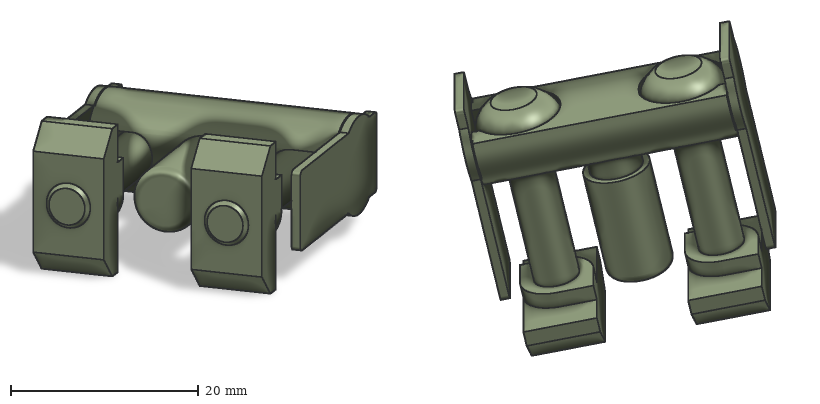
import cadquery as cq


overall_width = 30.0
plate_thickness = 1.0
bar_radius = 5.48
bar_flat_y = 1.58
relief_width = 0.12

plate_rear_y = 5.5
plate_front_y = -18.05
plate_height = 8.95
plate_corner_radius = 0.58

pin_radius = 3.65
pin_rear_y = -6.95
pin_tip_y = -19.53
pin_tip_fillet = 1.0
neck_radius = 2.93

bolt_spacing = 18.0
shank_radius = 2.5
bolt_tip_y = -24.95
head_radius = 4.75
head_top_radius = 2.53
head_top_y = 3.32
head_height = 2.5
head_bulge = 0.27

nut_width = 8.05
nut_height = 16.5
nut_front_y = -24.5
nut_rear_y = -20.17
nut_chamfer = 2.62
boss_rear_y = -18.43

bar_half_length = overall_width / 2 - plate_thickness
head_seat_y = head_top_y - head_height
bolt_x = bolt_spacing / 2
tip_chamfer = nut_front_y - bolt_tip_y


def cylinder_along_y(radius, x, start_y, end_y):
    """Cylinder parallel to Y, from start_y down to the lower end_y."""
    return cq.Workplane("XZ", origin=(x, start_y, 0)).circle(radius).extrude(start_y - end_y)


def make_bar():
    """Round bar with its rear side cut flat."""
    bar = cq.Workplane("YZ").circle(bar_radius).extrude(bar_half_length, both=True)
    behind_flat = cq.Workplane("XY").box(
        2 * bar_half_length, bar_radius, 2 * bar_radius
    ).translate((0, bar_flat_y + bar_radius / 2, 0))
    return bar.cut(behind_flat)


def make_plate(side):
    """End plate with rounded corners and a round bulge over the bar end; side is -1 or 1."""
    inner_x = side * bar_half_length
    plate_length = plate_rear_y - plate_front_y
    middle_y = (plate_rear_y + plate_front_y) / 2
    plate = (
        cq.Workplane("YZ", origin=(inner_x, 0, 0))
        .center(middle_y, 0)
        .rect(plate_length, plate_height)
        .extrude(side * plate_thickness)
        .edges("|X")
        .fillet(plate_corner_radius)
    )
    bulge = (
        cq.Workplane("YZ", origin=(inner_x, 0, 0))
        .circle(bar_radius)
        .extrude(side * plate_thickness)
    )
    return plate.union(bulge)


def make_pin():
    """Central pin on a thinner neck that starts inside the bar."""
    neck = cylinder_along_y(neck_radius, 0, 0, pin_rear_y)
    pin = cylinder_along_y(pin_radius, 0, pin_rear_y, pin_tip_y)
    pin = pin.faces("<Y").edges().fillet(pin_tip_fillet)
    return neck.union(pin)


def make_bolt_slot(side):
    """Cutter for one bolt: a slot open to the bar end and a recess for the bolt head."""
    hole = cylinder_along_y(shank_radius, side * bolt_x, bar_radius, -bar_radius)
    opening_length = bar_half_length - bolt_x
    opening = cq.Workplane("XY").box(opening_length, 2 * bar_radius, 2 * shank_radius)
    opening = opening.translate((side * (bolt_x + opening_length / 2), 0, 0))
    recess = cylinder_along_y(head_radius, side * bolt_x, bar_flat_y, head_seat_y)
    return hole.union(opening).union(recess)


def make_relief(side):
    """Cutter for the slits above and below the plate edges, between the bar and a plate bulge."""
    slab = cq.Workplane("XY").box(relief_width, 2 * bar_radius, 2 * bar_radius)
    kept_middle = cq.Workplane("XY").box(relief_width, 2 * bar_radius, plate_height)
    relief_x = side * (bar_half_length - relief_width / 2)
    return slab.cut(kept_middle).translate((relief_x, 0, 0))


def make_frame():
    """Bar, central pin and both end plates as one body."""
    frame = make_bar().union(make_pin())
    for side in (-1, 1):
        frame = frame.cut(make_bolt_slot(side)).cut(make_relief(side)).union(make_plate(side))
    return frame


def make_screw():
    """Button-head screw centred on the Y axis."""
    shank = cylinder_along_y(shank_radius, 0, head_seat_y, bolt_tip_y)
    shank = shank.faces("<Y").edges().chamfer(tip_chamfer)
    dome_middle = (
        (head_radius + head_top_radius) / 2 + head_bulge,
        (head_seat_y + head_top_y) / 2 + head_bulge,
    )
    head = (
        cq.Workplane("XY")
        .moveTo(0, head_seat_y)
        .lineTo(head_radius, head_seat_y)
        .threePointArc(dome_middle, (head_top_radius, head_top_y))
        .lineTo(0, head_top_y)
        .close()
        .revolve(360, (0, 0, 0), (0, 1, 0))
    )
    return shank.union(head)


def make_nut():
    """T-nut with two chamfered long edges and a boss rounded at two opposite corners."""
    nut = (
        cq.Workplane("XY")
        .box(nut_width, nut_rear_y - nut_front_y, nut_height)
        .translate((0, (nut_rear_y + nut_front_y) / 2, 0))
        .faces("<Y")
        .edges("|X")
        .chamfer(nut_chamfer)
    )
    half = nut_width / 2
    boss = (
        cq.Workplane("XZ", origin=(0, boss_rear_y, 0))
        .moveTo(-half, -half)
        .lineTo(0, -half)
        .radiusArc((half, 0), -half)
        .lineTo(half, half)
        .lineTo(0, half)
        .radiusArc((-half, 0), -half)
        .close()
        .extrude(boss_rear_y - nut_rear_y)
    )
    return nut.union(boss)


def make_bolt(x):
    """Screw and T-nut as one body."""
    return make_screw().union(make_nut()).translate((x, 0, 0))


frame = make_frame()
bolts = [make_bolt(side * bolt_x) for side in (-1, 1)]

result = cq.Compound.makeCompound([frame.val(), *[bolt.val() for bolt in bolts]])